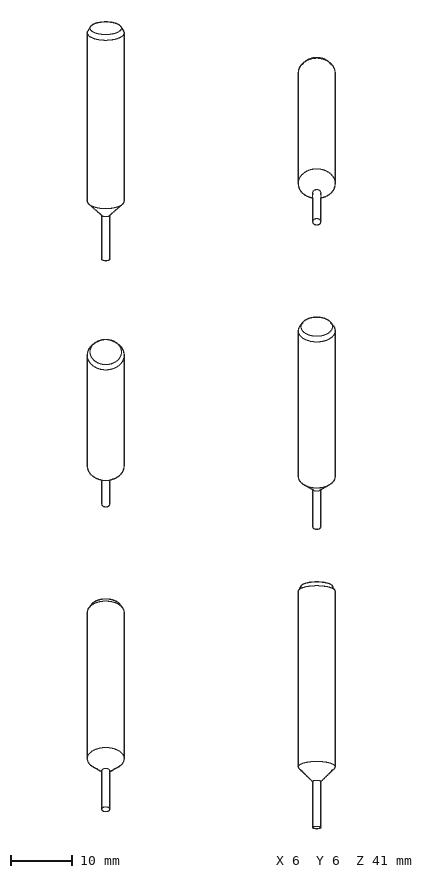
import cadquery as cq

total_length = 41.0
shank_diameter = 6.0
cutter_diameter = 1.3

point_height = 0.2
cutter_length = 8.0
taper_height = 2.45

chamfer_height = 0.8
chamfer_width = 0.45

shank_radius = shank_diameter / 2
cutter_radius = cutter_diameter / 2
taper_top = cutter_length + taper_height


def revolve_profile(points):
    """Revolve a closed (radius, height) outline about the Z axis."""
    return cq.Workplane("XZ").polyline(points).close().revolve(360, (0, 0), (0, 1))


def make_shank():
    """Cylindrical shank, chamfered at the top and tapered down to the cutter."""
    return revolve_profile([
        (0, cutter_length),
        (cutter_radius, cutter_length),
        (shank_radius, taper_top),
        (shank_radius, total_length - chamfer_height),
        (shank_radius - chamfer_width, total_length),
        (0, total_length),
    ])


def make_cutter():
    """Thin cylindrical cutter with a shallow conical point, meeting the shank's taper."""
    return revolve_profile([
        (0, 0),
        (cutter_radius, point_height),
        (cutter_radius, cutter_length),
        (0, cutter_length),
    ])


shank = make_shank()
cutter = make_cutter()

result = cq.Compound.makeCompound([shank.val(), cutter.val()])